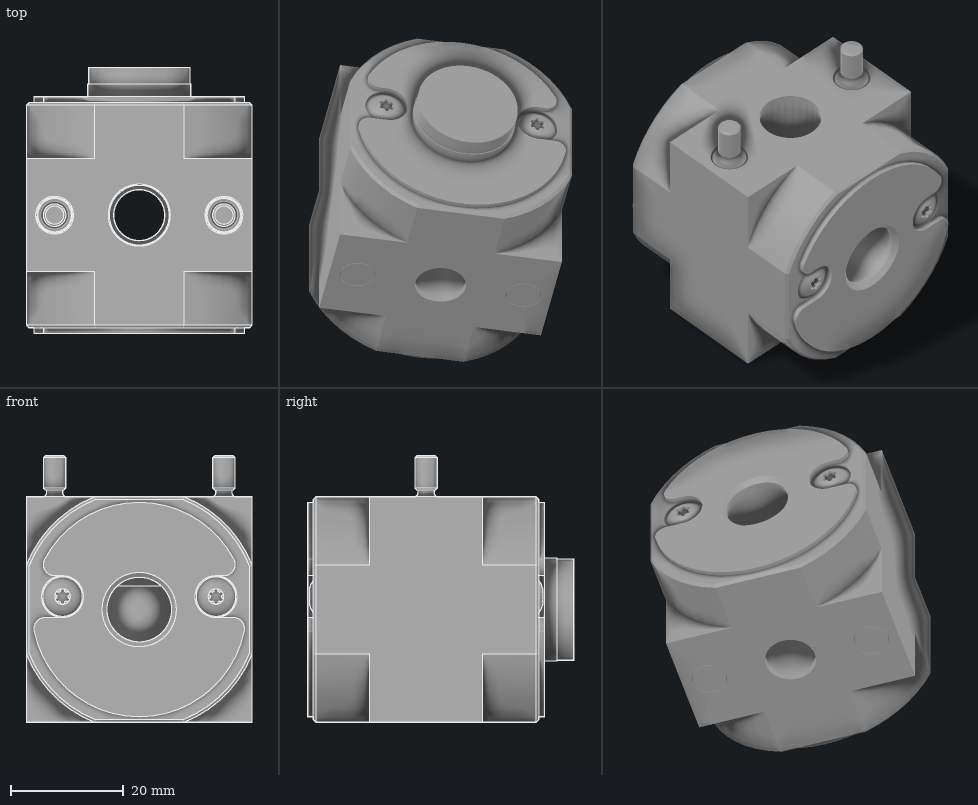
import cadquery as cq
import math

side = 40.0
half = side / 2
block_depth = 20.0
disc_diameter = 43.0
disc_chamfer = 0.5

pad_radius = 19.0
pad_corner_radius = 2.0
pad_height = 1.0
pad_face = half + pad_height

screw_x = 13.6
screw_z = 2.3
screw_pocket_diameter = 7.4
screw_pocket_depth = 0.6
head_diameter = 7.0
head_height = 0.7
head_dome_radius = 5.1
drive_diameter = 2.75
drive_lobe_count = 6
drive_lobe_diameter = 0.7
drive_core_diameter = 2.0
drive_depth = 0.9

collar_diameter = 18.3
collar_length = 2.2
stub_diameter = 18.0
stub_length = 3.0

port_diameter = 11.45
port_mouth_diameter = 13.16
passage_wall_diameter = 18.0
passage_wall_shoulder = 4.15

passage_mouth_diameter = 11.0
passage_ledge_diameter = 10.6
passage_ledge_depth = 12.0
passage_diameter = 9.0

pin_x = 15.0
pin_hole_top_diameter = 6.7
pin_hole_bottom_diameter = 6.2
pin_shank_diameter = 6.0
pin_shank_recess = 0.2
pin_neck_diameter = 2.9
pin_neck_fillet = 1.0
pin_tip_diameter = 4.0
pin_tip_chamfer = 0.38
pin_tip_length = 6.15
pin_protrusion = 7.3


def rod_y(diameter, y_start, y_end, x=0.0, z=0.0):
    """Cylinder along Y between two Y positions."""
    return cq.Workplane("XZ", origin=(x, y_start, z)).circle(diameter / 2).extrude(y_start - y_end)


def cone_z(top_diameter, bottom_diameter, z_top, z_bottom, x=0.0):
    """Tapered plug along Z between two heights."""
    top = cq.Workplane("XY", origin=(x, 0, z_top)).circle(top_diameter / 2)
    return top.workplane(offset=z_bottom - z_top).circle(bottom_diameter / 2).loft()


def full_turn(profile):
    """Revolve a profile about the vertical axis of its sketch."""
    return profile.close().revolve(360, (0, 0), (0, 1))


def make_clipped_disc():
    """Disc along Y, trimmed flat to the square outline and chamfered at both ends."""
    disc = rod_y(disc_diameter, -half, half)
    disc = disc.intersect(cq.Workplane("XY").box(side, side, side))
    return disc.faces("<Y or >Y").edges().chamfer(disc_chamfer)


def make_pad():
    """Front pad: a disc with a rounded, open-sided notch around each screw."""
    notch_top = screw_z + screw_pocket_diameter / 2
    notch_bottom = screw_z - screw_pocket_diameter / 2
    pad = rod_y(2 * pad_radius, -pad_face, -half)
    for sign in (-1, 1):
        pad = pad.cut(rod_y(screw_pocket_diameter, -pad_face, -half, sign * screw_x, screw_z))
        notch = cq.Workplane("XZ", origin=(0, -pad_face, 0))
        notch = notch.moveTo(sign * screw_x, notch_bottom).lineTo(sign * pad_radius, notch_bottom)
        notch = notch.lineTo(sign * pad_radius, notch_top).lineTo(sign * screw_x, notch_top)
        pad = pad.cut(notch.close().extrude(-pad_height))
    for sign in (-1, 1):
        for notch_z in (notch_bottom, notch_top):
            corner = (sign * math.sqrt(pad_radius**2 - notch_z**2), -half, notch_z)
            at_corner = cq.selectors.NearestToPointSelector(corner)
            pad = pad.edges("|Y").edges(at_corner).fillet(pad_corner_radius)
    return pad


def make_screw_head():
    """Domed head facing -Y, with a lobed drive recess in its flat top."""
    head_radius = head_diameter / 2
    flat_radius = drive_diameter / 2
    flat_angle = math.asin(flat_radius / head_dome_radius)
    rim_angle = math.asin(head_radius / head_dome_radius)
    mid_angle = (flat_angle + rim_angle) / 2
    top = -half - head_height
    dome_centre = top + head_dome_radius * math.cos(flat_angle)
    seat = -half + screw_pocket_depth

    def on_dome(angle):
        return head_dome_radius * math.sin(angle), dome_centre - head_dome_radius * math.cos(angle)

    profile = cq.Workplane("XY").moveTo(0, top).lineTo(flat_radius, top)
    profile = profile.threePointArc(on_dome(mid_angle), on_dome(rim_angle))
    head = full_turn(profile.lineTo(head_radius, seat).lineTo(0, seat))

    drive = rod_y(drive_core_diameter, top, top + drive_depth)
    lobe_circle = (drive_diameter - drive_lobe_diameter) / 2
    for lobe in range(drive_lobe_count):
        angle = math.pi / 2 + lobe * 2 * math.pi / drive_lobe_count
        lobe_x = lobe_circle * math.cos(angle)
        lobe_z = lobe_circle * math.sin(angle)
        drive = drive.union(rod_y(drive_lobe_diameter, top, top + drive_depth, lobe_x, lobe_z))
    return head.cut(drive)


def make_port():
    """Port with chamfered mouth; the passage wall stands at its inner end."""
    port_radius = port_diameter / 2
    wall_radius = passage_wall_diameter / 2
    shoulder_rise = port_radius - passage_wall_shoulder
    wall = cq.Workplane("XZ").moveTo(0, -port_radius).lineTo(wall_radius, -port_radius)
    wall = wall.lineTo(wall_radius, passage_wall_shoulder)
    wall = full_turn(wall.lineTo(wall_radius - shoulder_rise, port_radius).lineTo(0, port_radius))

    mouth_depth = (port_mouth_diameter - port_diameter) / 2
    mouth = cq.Workplane("XZ", origin=(0, -pad_face, 0)).circle(port_mouth_diameter / 2)
    mouth = mouth.workplane(offset=-mouth_depth).circle(port_radius).loft()
    return rod_y(port_diameter, -pad_face, 0).cut(wall).union(mouth)


def make_passage():
    """Tapered mouth and straight bore of the vertical passage."""
    ledge = half - passage_ledge_depth
    mouth = cone_z(passage_mouth_diameter, passage_ledge_diameter, half, ledge)
    return mouth.union(cone_z(passage_diameter, passage_diameter, ledge, -half))


def add_both_ends(body, front_feature):
    """Join a front feature and its mirror image at the back."""
    return body.union(front_feature).union(front_feature.mirror("XZ"))


def make_housing():
    """Block, discs, pads, screw heads and stub, with the port, passage and pin holes."""
    body = make_clipped_disc().union(cq.Workplane("XY").box(side, block_depth, side))
    body = add_both_ends(body, make_pad())

    head = make_screw_head()
    for x in (-screw_x, screw_x):
        pocket = rod_y(screw_pocket_diameter, -half, -half + screw_pocket_depth, x, screw_z)
        body = body.cut(pocket).cut(pocket.mirror("XZ"))
        body = add_both_ends(body, head.translate((x, 0, screw_z)))

    collar_end = pad_face + collar_length
    body = body.union(rod_y(collar_diameter, pad_face, collar_end))
    body = body.union(rod_y(stub_diameter, collar_end, collar_end + stub_length))

    body = body.cut(make_port()).cut(make_passage())
    for x in (-pin_x, pin_x):
        body = body.cut(cone_z(pin_hole_top_diameter, pin_hole_bottom_diameter, half, -half, x))
    return body


def make_pin(x):
    """Pin with a wide shank, a filleted neck and a chamfered tip."""
    shank_radius = pin_shank_diameter / 2
    neck_radius = pin_neck_diameter / 2
    tip_radius = pin_tip_diameter / 2
    shank_top = half - pin_shank_recess
    fillet_radius = neck_radius + pin_neck_fillet
    fillet_top = shank_top + pin_neck_fillet
    fillet_inset = pin_neck_fillet * math.sqrt(0.5)
    tip_top = half + pin_protrusion
    tip_bottom = tip_top - pin_tip_length

    profile = cq.Workplane("XZ").moveTo(0, -half).lineTo(shank_radius, -half)
    profile = profile.lineTo(shank_radius, shank_top).lineTo(fillet_radius, shank_top)
    fillet_middle = (fillet_radius - fillet_inset, fillet_top - fillet_inset)
    profile = profile.threePointArc(fillet_middle, (neck_radius, fillet_top))
    profile = profile.lineTo(neck_radius, tip_bottom).lineTo(tip_radius - pin_tip_chamfer, tip_bottom)
    profile = profile.lineTo(tip_radius, tip_bottom + pin_tip_chamfer)
    profile = profile.lineTo(tip_radius, tip_top - pin_tip_chamfer)
    profile = profile.lineTo(tip_radius - pin_tip_chamfer, tip_top).lineTo(0, tip_top)
    return full_turn(profile).translate((x, 0, 0))


housing = make_housing()
pins = [make_pin(x) for x in (-pin_x, pin_x)]

result = cq.Compound.makeCompound([*housing.solids().vals(), *[pin.val() for pin in pins]])